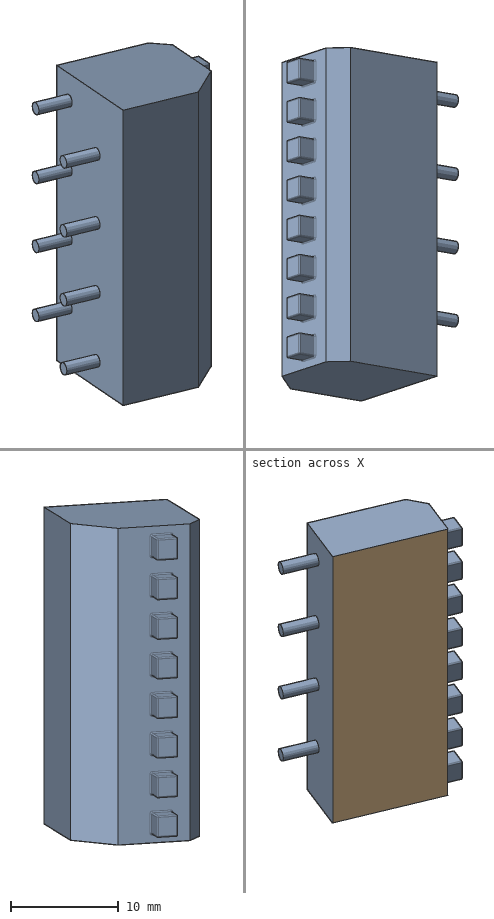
import cadquery as cq

body_width = 12.0
body_depth = 11.65
body_height = 30.0
left_chamfer_width = 1.5
left_chamfer_depth = 1.7
right_chamfer = 3.5

pin_count = 8
pin_diameter = 1.2
pin_length = 3.6
pin_span = 24.5
pin_pitch = pin_span / (pin_count - 1)
pin_columns = (-3.8, 1.23)

knob_count = 8
knob_width = 2.0
knob_height = 2.05
knob_projection = 1.8
knob_pitch = 3.75
knob_x = -1.75
knob_fillet = 0.12

left = -body_width / 2
right = body_width / 2
front = -body_depth / 2
back = body_depth / 2


def row_positions(count, pitch):
    """Heights of a row centred on Z = 0, from the top downwards."""
    return [((count - 1) / 2 - index) * pitch for index in range(count)]


def make_body():
    outline = [
        (left, front),
        (right, front),
        (right, back - right_chamfer),
        (right - right_chamfer, back),
        (left + left_chamfer_width, back),
        (left, back - left_chamfer_depth),
    ]
    block = cq.Workplane("XY").polyline(outline).close().extrude(body_height)
    return block.translate((0, 0, -body_height / 2))


def make_pin(x, z):
    pin = cq.Workplane("XZ").circle(pin_diameter / 2).extrude(pin_length)
    return pin.translate((x, front, z))


def make_knob(z):
    knob = cq.Workplane("XY").box(knob_width, knob_projection, knob_height)
    knob = knob.edges("|Y or >Y").fillet(knob_fillet)
    return knob.translate((knob_x, back + knob_projection / 2, z))


def blend_knob_bases(part):
    """Fillet the edges where the knobs meet the back face."""
    half_band_height = body_height / 2 - knob_fillet
    base_edges = cq.selectors.BoxSelector(
        (knob_x - knob_width, back - knob_fillet, -half_band_height),
        (knob_x + knob_width, back + knob_fillet, half_band_height),
    )
    return part.edges(base_edges).fillet(knob_fillet)


result = make_body()

for index, pin_z in enumerate(row_positions(pin_count, pin_pitch)):
    pin_x = pin_columns[index % len(pin_columns)]
    result = result.union(make_pin(pin_x, pin_z))

for knob_z in row_positions(knob_count, knob_pitch):
    result = result.union(make_knob(knob_z))

result = blend_knob_bases(result)